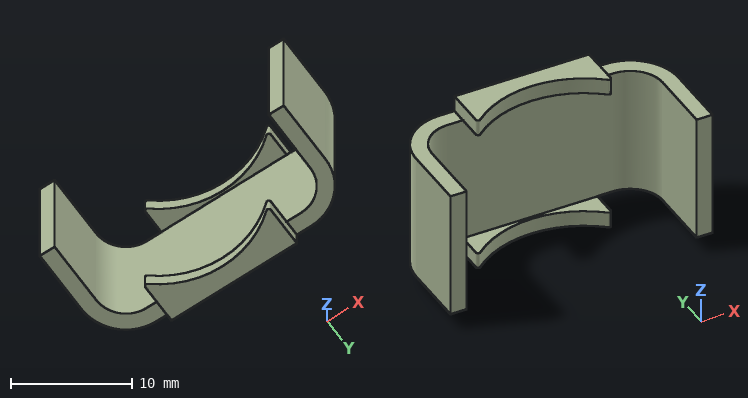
import cadquery as cq

clip_width = 24.5
clip_depth = 10.5
clip_height = 12.0
wall = 1.5
bend_outer_radius = 4.5
bend_inner_radius = bend_outer_radius - wall

plate_width = 12.6
plate_thickness = 1.5
saddle_radius = 9.25
saddle_web = 1.75
tip_radius = 0.2

BACK_Y = 0.0


def back_block(width, depth, height):
    """Block centred on X and Z with its rear face on the back plane."""
    return cq.Workplane("XY").box(width, depth, height).translate((0, BACK_Y - depth / 2, 0))


def make_clip():
    """U-shaped strip with rounded bends, open toward -Y."""
    outer = back_block(clip_width, clip_depth, clip_height)
    outer = outer.edges("|Z and >Y").fillet(bend_outer_radius)
    inner = back_block(clip_width - 2 * wall, clip_depth, clip_height)
    inner = inner.edges("|Z and >Y").fillet(bend_inner_radius)
    return outer.cut(inner.translate((0, -wall, 0)))


def make_saddle_plate():
    """Plate with a concave circular front edge and rounded tips."""
    blank_depth = saddle_web + saddle_radius
    blank = back_block(plate_width, blank_depth, plate_thickness)
    saddle = (
        cq.Workplane("XY")
        .center(0, BACK_Y - blank_depth)
        .circle(saddle_radius)
        .extrude(plate_thickness, both=True)
    )
    return blank.cut(saddle).edges("|Z and <Y").fillet(tip_radius)


plate = make_saddle_plate()
plate_offset = (clip_height + plate_thickness) / 2

result = make_clip()
for side in (-1, 1):
    result = result.union(plate.translate((0, 0, side * plate_offset)))